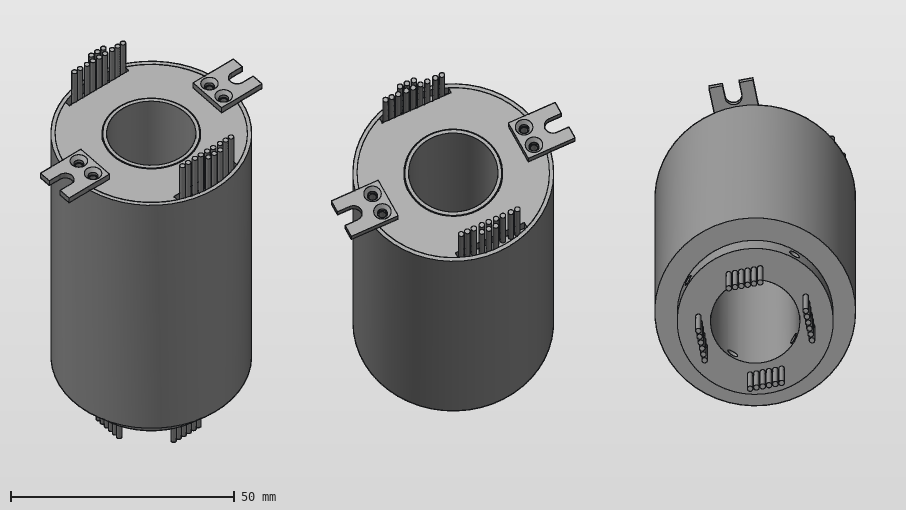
import cadquery as cq
import math

wire_reach = 9.0
collar_height = 5.2
neck_height = 0.9
overall_height = 95.8

collar_bottom = wire_reach
collar_top = collar_bottom + collar_height
body_bottom = collar_top + neck_height
body_top = overall_height - wire_reach

body_diameter = 45.0
collar_diameter = 35.0
neck_diameter = 28.9
bore_diameter = 20.0

cover_diameter = 43.1
cover_recess = 0.1
rotor_diameter = 21.7
gap_width = 0.2
gap_depth = 1.0

pocket_inner_x = 18.4
pocket_length = 17.2
pocket_depth = 2.9

wire_diameter = 1.2
inner_row_x = pocket_inner_x + wire_diameter / 2
outer_row_x = 20.6
inner_row_ys = (7.5, 5.9, 4.3, 2.3, 0.6, -1.2, -3.0, -5.0, -6.6)
outer_row_ys = (3.1, 1.3, -0.4)
lower_wire_count = 6
lower_wire_pitch = 1.4
lower_wire_radius = 12.3

lug_span = 56.0
lug_inner_y = 16.3
lug_width = 10.1
lug_thickness = 1.5
lug_slot_width = 3.8
lug_slot_depth = 5.0
lug_hole_spacing = 5.0
lug_hole_y = 19.0
lug_hole_points = [(side * lug_hole_spacing / 2, lug_hole_y) for side in (-1, 1)]
lug_hole_diameter = 2.2
lug_sink_diameter = 3.9
lug_sink_angle = 90.0

tapped_hole_diameter = 1.6
tapped_hole_depth = 3.8
drill_tip_angle = 118.0

screw_hole_count = 4
screw_hole_diameter = 2.5
screw_hole_angle = -48.4


def disc(diameter, bottom, top):
    return cq.Workplane("XY").workplane(offset=bottom).circle(diameter / 2).extrude(top - bottom)


def ring(outer_diameter, inner_diameter, bottom, top):
    return disc(outer_diameter, bottom, top).cut(disc(inner_diameter, bottom, top))


def wires(points, bottom, top):
    return (
        cq.Workplane("XY").workplane(offset=bottom)
        .pushPoints(points).circle(wire_diameter / 2).extrude(top - bottom)
    )


def housing():
    solid = disc(body_diameter, body_bottom, body_top)
    solid = solid.union(disc(neck_diameter, collar_top, body_bottom))
    solid = solid.union(disc(collar_diameter, collar_bottom, collar_top))
    gap_diameter = rotor_diameter + 2 * gap_width
    solid = solid.cut(ring(cover_diameter, gap_diameter, body_top - cover_recess, body_top))
    solid = solid.cut(ring(gap_diameter, rotor_diameter, body_top - gap_depth, body_top))
    return solid.cut(disc(bore_diameter, collar_bottom, body_top))


def wire_pockets():
    """Segments of the cover circle lying beyond a straight inner edge."""
    floor = body_top - pocket_depth
    strip = cq.Workplane("XY").box(
        cover_diameter, pocket_length, pocket_depth, centered=(True, True, False)
    )
    middle = cq.Workplane("XY").box(
        2 * pocket_inner_x, pocket_length, pocket_depth, centered=(True, True, False)
    )
    segments = strip.cut(middle).translate((0, 0, floor))
    return segments.intersect(disc(cover_diameter, floor, body_top))


def upper_wires():
    points = []
    for side in (-1, 1):
        points += [(side * inner_row_x, y) for y in inner_row_ys]
        points += [(side * outer_row_x, y) for y in outer_row_ys]
    return wires(points, body_top - pocket_depth, overall_height)


def lower_wires():
    """Four straight rows, a quarter turn apart."""
    first = -lower_wire_pitch * (lower_wire_count - 1) / 2
    points = []
    for side in (-1, 1):
        for index in range(lower_wire_count):
            along = first + index * lower_wire_pitch
            points.append((side * lower_wire_radius, along))
            points.append((along, side * lower_wire_radius))
    return wires(points, 0, collar_bottom)


def lug():
    """Lug at the +Y end: round-ended open slot outside, two countersunk holes inside."""
    lug_bottom = body_top - cover_recess
    lug_top = body_top + lug_thickness
    outer_y = lug_span / 2
    plate = (
        cq.Workplane("XY").workplane(offset=lug_bottom)
        .center(0, (outer_y + lug_inner_y) / 2)
        .rect(lug_width, outer_y - lug_inner_y).extrude(lug_top - lug_bottom)
    )
    plate = plate.cut(ring(lug_span + lug_width, cover_diameter, lug_bottom, body_top))
    slot = (
        cq.Workplane("XY").workplane(offset=lug_bottom)
        .center(0, outer_y)
        .slot2D(2 * lug_slot_depth, lug_slot_width, 90).extrude(lug_top - lug_bottom)
    )
    return (
        plate.cut(slot)
        .faces(">Z").workplane(origin=(0, 0, lug_top))
        .pushPoints(lug_hole_points)
        .cskHole(lug_hole_diameter, lug_sink_diameter, lug_sink_angle)
    )


def tapped_holes():
    """Blind holes with a conical drill tip under the +Y lug."""
    radius = tapped_hole_diameter / 2
    tip_depth = radius / math.tan(math.radians(drill_tip_angle / 2))
    hole = (
        cq.Workplane("XZ")
        .polyline([
            (0, 0),
            (radius, 0),
            (radius, -tapped_hole_depth),
            (0, -tapped_hole_depth - tip_depth),
        ])
        .close().revolve(360, (0, 0, 0), (0, 1, 0))
    )
    holes = cq.Workplane("XY")
    for x, y in lug_hole_points:
        holes = holes.add(hole.translate((x, y, body_top)))
    return holes.combine()


def screw_holes():
    hole = (
        cq.Workplane("YZ").center(0, (collar_bottom + collar_top) / 2)
        .circle(screw_hole_diameter / 2).extrude(collar_diameter)
    )
    holes = cq.Workplane("XY")
    for index in range(screw_hole_count):
        angle = screw_hole_angle + index * 360 / screw_hole_count
        holes = holes.add(hole.rotate((0, 0, 0), (0, 0, 1), angle))
    return holes.combine()


def both_ends(feature):
    """The +Y feature together with its half-turn copy at the -Y end."""
    return feature.union(feature.rotate((0, 0, 0), (0, 0, 1), 180))


result = housing().cut(wire_pockets()).cut(screw_holes()).cut(both_ends(tapped_holes()))
result = result.union(both_ends(lug()))
result = result.union(upper_wires()).union(lower_wires())